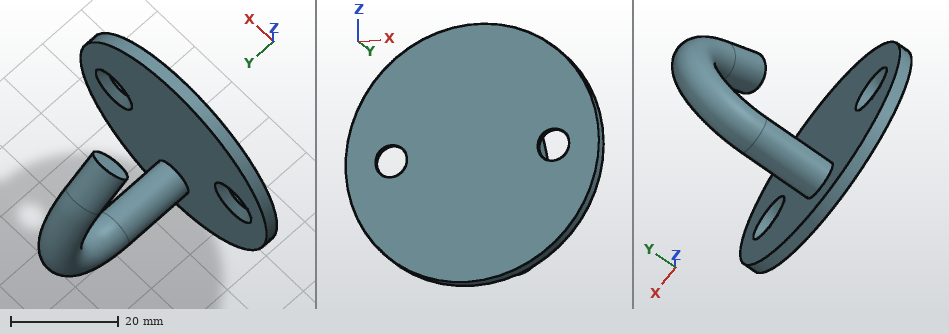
import cadquery as cq
import math

plate_diameter = 50.0
plate_thickness = 2.7
hole_diameter = 6.2
hole_offset = 16.0
hole_land = 0.95
countersink_angle = 90.0

rod_diameter = 8.0
bend_radius = 14.0
bend_center_y = 18.0
bend_angle = 145.0
tip_length = 8.6


def make_hole_cutter(x):
    """Screw hole: a short cylindrical land at the front, then a countersink opening to the back."""
    hole_radius = hole_diameter / 2
    flare = (plate_thickness - hole_land) * math.tan(math.radians(countersink_angle / 2))
    profile = (
        cq.Workplane("XY")
        .lineTo(hole_radius, 0)
        .lineTo(hole_radius, hole_land)
        .lineTo(hole_radius + flare, plate_thickness)
        .lineTo(0, plate_thickness)
        .close()
    )
    return profile.revolve(axisStart=(0, 0, 0), axisEnd=(0, 1, 0)).translate((x, 0, 0))


def make_plate():
    """Disc with two countersunk screw holes on its horizontal centre line."""
    plate = cq.Workplane("XZ").circle(plate_diameter / 2).extrude(-plate_thickness)
    for x in (-hole_offset, hole_offset):
        plate = plate.cut(make_hole_cutter(x))
    return plate


def bend_point(angle):
    """Point (y, z) on the bend centreline, measured in degrees from the bottom of the bend."""
    turn = math.radians(angle)
    return (bend_center_y + bend_radius * math.sin(turn), -bend_radius * math.cos(turn))


def make_hook():
    """Rod swept along a straight shank, the bend and a straight tip."""
    bend_end = bend_point(bend_angle)
    tip_direction = math.radians(bend_angle)
    tip_end = (
        bend_end[0] + tip_length * math.cos(tip_direction),
        bend_end[1] + tip_length * math.sin(tip_direction),
    )
    path = (
        cq.Workplane("YZ")
        .moveTo(plate_thickness, -bend_radius)
        .lineTo(*bend_point(0))
        .threePointArc(bend_point(bend_angle / 2), bend_end)
        .lineTo(*tip_end)
    )
    section = cq.Workplane("XZ", origin=(0, plate_thickness, -bend_radius)).circle(rod_diameter / 2)
    return section.sweep(path)


result = make_plate().union(make_hook())